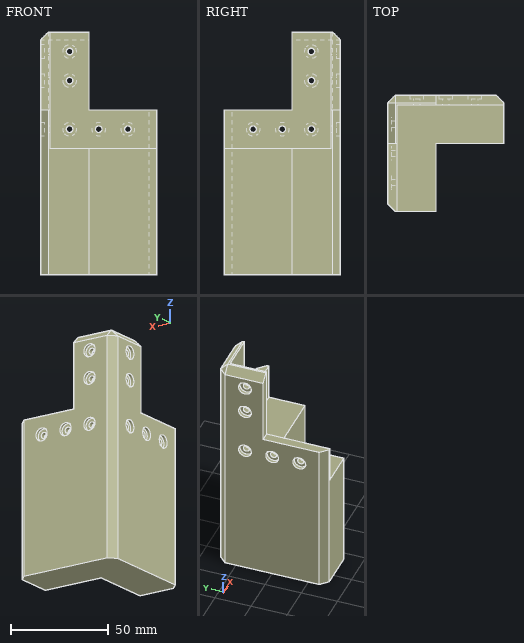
import cadquery as cq

side = 60.0
height = 125.0
arm_width = 25.0
block_height = 65.0
low_wall_height = 85.0
wall = 5.0
chamfer = 4.0
hole_pitch = 15.0
edge_distance = 10.0
hole_diameter = 3.2
bore_diameter = 7.0
bore_depth = 2.0



def angle_prism(leg, thickness, prism_height):
    """L-shaped prism standing on z = 0 with its outer corner at the origin."""
    outline = [
        (0, 0),
        (leg, 0),
        (leg, -thickness),
        (thickness, -thickness),
        (thickness, -leg),
        (0, -leg),
    ]
    return cq.Workplane("XY").polyline(outline).close().extrude(prism_height)


def on_back(left_shape):
    """Copy a shape at the left face to the back face, across the corner's diagonal."""
    return left_shape.rotate((0, 0, 0), (0, 0, 1), -90).mirror("YZ")


def bevelled_envelope():
    """Square column with the outer vertical and top edges bevelled."""
    column = cq.Workplane("XY").box(side, side, height, centered=False)
    column = column.translate((0, -side, 0))
    return column.edges("(<X or >Y) exc <Z").chamfer(chamfer)


def counterbored_hole(distance, z):
    """Cutter through the left wall, bored from its outer face."""
    outer_face = cq.Workplane("YZ").center(-distance, z)
    through = outer_face.circle(hole_diameter / 2).extrude(wall)
    bore = outer_face.circle(bore_diameter / 2).extrude(bore_depth)
    return through.union(bore)


body = angle_prism(side, arm_width, block_height)
body = body.union(angle_prism(side, wall, low_wall_height))
body = body.union(angle_prism(arm_width, wall, height))
body = body.intersect(bevelled_envelope())

hole_places = [(i * hole_pitch, low_wall_height - edge_distance) for i in (1, 2, 3)]
hole_places += [(hole_pitch, height - edge_distance - i * hole_pitch) for i in (0, 1)]

for distance, z in hole_places:
    cutter = counterbored_hole(distance, z)
    body = body.cut(cutter)
    body = body.cut(on_back(cutter))

result = body